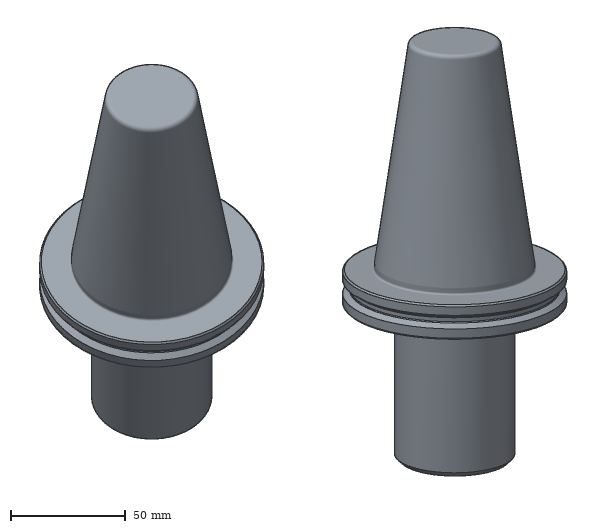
import cadquery as cq
import math

total_height = 191.6
taper_length = 101.7
collar_height = 3.0
flange_thickness = 15.9
gauge_z = total_height - taper_length
flange_top_z = gauge_z - collar_height
flange_bottom_z = flange_top_z - flange_thickness

flange_radius = 97.5 / 2
shank_radius = 52.5 / 2
gauge_radius = 69.7 / 2
taper_slope = 7 / 48
tip_radius = gauge_radius - taper_length * taper_slope

shank_chamfer = 2.3
tip_fillet = 2.1
flange_chamfer = 0.8
root_fillet = 1.0

groove_depth = 3.3
groove_floor_width = 2.5
groove_wall_angle = 30.0
groove_mouth_width = groove_floor_width + 2 * groove_depth * math.tan(math.radians(groove_wall_angle))
groove_offset = 0.2
groove_floor_fillet = 0.5
groove_z = (flange_top_z + flange_bottom_z) / 2 + groove_offset


def cylinder(radius, bottom_z, top_z):
    """Cylinder about the Z axis between two levels."""
    return cq.Workplane("XY").workplane(offset=bottom_z).circle(radius).extrude(top_z - bottom_z)


def make_taper():
    """Tapered cone with a rounded tip."""
    profile = [(0, gauge_z), (gauge_radius, gauge_z), (tip_radius, total_height), (0, total_height)]
    cone = cq.Workplane("XZ").polyline(profile).close().revolve(360, (0, 0, 0), (0, 1, 0))
    return cone.faces(">Z").edges().fillet(tip_fillet)


def make_flange():
    """Flange with chamfered rims and the gripper groove."""
    flange = cylinder(flange_radius, flange_bottom_z, flange_top_z)
    flange = flange.faces("<Z or >Z").edges().chamfer(flange_chamfer)
    floor_radius = flange_radius - groove_depth
    groove_profile = [
        (flange_radius, groove_z - groove_mouth_width / 2),
        (floor_radius, groove_z - groove_floor_width / 2),
        (floor_radius, groove_z + groove_floor_width / 2),
        (flange_radius, groove_z + groove_mouth_width / 2),
    ]
    groove = cq.Workplane("XZ").polyline(groove_profile).close().revolve(360, (0, 0, 0), (0, 1, 0))
    inner_edges = cq.selectors.RadiusNthSelector(0)
    groove = groove.edges(inner_edges).fillet(groove_floor_fillet)
    return flange.cut(groove)


def fillet_root(body, radius, z):
    """Round the inside corner where a cylinder meets a flange face."""
    reach = 0.2
    corner = cq.selectors.BoxSelector(
        (-radius - reach, -radius - reach, z - reach),
        (radius + reach, radius + reach, z + reach),
        boundingbox=True,
    )
    return body.edges(corner).edges("%CIRCLE").fillet(root_fillet)


shank = cylinder(shank_radius, 0, flange_bottom_z).faces("<Z").edges().chamfer(shank_chamfer)
collar = cylinder(gauge_radius, flange_top_z, gauge_z)

body = make_flange().union(shank).union(collar).union(make_taper())
body = fillet_root(body, shank_radius, flange_bottom_z)
result = fillet_root(body, gauge_radius, flange_top_z)